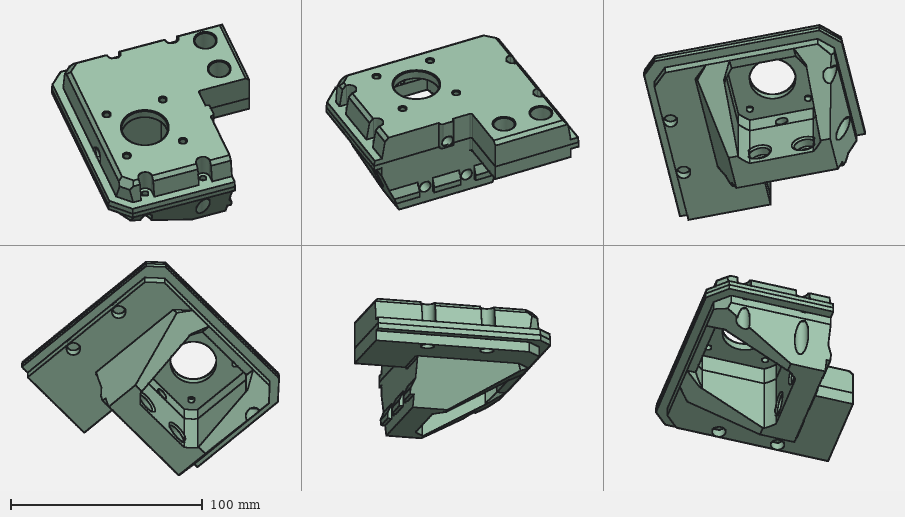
import cadquery as cq
import math


length = 104.9
depth = 94.7
arm_right = 48.4
body_back = 66.5
inner_corner_radius = 1.0
left_corner = 7.2
right_corner = 9.8

lid_top = 15.7
lid_rim_top = 3.3
base_rim_bottom = -2.9
skirt_bottom = -8.2
pedestal_bottom = -33.3

rim_draft = 0.4
box_front = 4.8
box_side = 4.6
box_draft = 1.7
box_chamfer = 2.1
box_chamfer_start = lid_top - box_chamfer
box_corner = 6.9
box_corner_chamfer = 3.8
back_chamfer = 2.0

screw_diameter = 3.4
screw_pitch = 32.0
left_screw_x = 8.3
right_screw_x = 96.4
left_screw_front_y = 34.0
right_screw_front_y = 19.8
lid_screw_points = [
    (left_screw_x, left_screw_front_y),
    (left_screw_x, left_screw_front_y + screw_pitch),
    (right_screw_x, right_screw_front_y),
    (right_screw_x, right_screw_front_y + screw_pitch),
]
notch_width = 7.3
screw_pocket_diameter = 7.1

motor_x = 63.3
motor_y = 31.5
motor_width = 43.9
motor_round_diameter = 55.4
motor_plate = 5.0
motor_seat_z = lid_top - motor_plate
motor_bore_diameter = 24.0
motor_screw_pitch = 31.1
mouth_chamfer = 0.5

well_diameter = 11.0
well_y = 82.0
well_xs = (15.7, 37.1)

cross_hole_diameter = 6.3
cross_hole_z = 3.6
cross_bore_diameter = 8.5
cross_mouth_chamfer = 1.0
boss_width = 8.1
boss_length = 2.0
boss_radius = 1.4

skirt_inset = 4.5
skirt_front = 4.8
skirt_corner = 7.2
pedestal_right = length - skirt_inset
pedestal_left = 26.3
pedestal_side_run = 10.0
pedestal_foot_y = 47.7
root_chamfer = 0.8
opening_corner = 4.8

mount_pitch = 24.0
mount_z = -23.3
mount_diameter = 6.3
mount_bore_diameter = 11.0
mount_bore_depth = 5.2
mount_mouth_chamfer = 1.0
mount_xs = (motor_x - mount_pitch / 2, motor_x + mount_pitch / 2)
rail_height = 2.1
rail_top = -19.0
rail_ramp_bottom = -23.8
rail_bottom = -27.1
rail_gap = 8.6


def block(x0, x1, y0, y1, z0, z1):
    """Box between two opposite corners."""
    return cq.Workplane("XY").box(x1 - x0, y1 - y0, z1 - z0, centered=False).translate((x0, y0, z0))


def along_x(points, x0, x1):
    """Prism along X from a list of (y, z) points."""
    return cq.Workplane("YZ").workplane(offset=x0).polyline(points).close().extrude(x1 - x0)


def along_y(points, y0, y1):
    """Prism along Y from a list of (x, z) points."""
    return cq.Workplane("XZ").workplane(offset=-y1).polyline(points).close().extrude(y1 - y0)


def rod_z(x, y, z0, z1, diameter):
    """Upright cylinder."""
    return cq.Workplane("XY").circle(diameter / 2).extrude(z1 - z0).translate((x, y, z0))


def rod_y(x, z, y0, y1, diameter):
    """Cylinder along Y."""
    return cq.Workplane("XZ").circle(diameter / 2).extrude(y0 - y1).translate((x, y0, z))


def mouth(point, direction, diameter, size):
    """Cone that chamfers the mouth of a hole, narrowing from the point along the direction."""
    radius = diameter / 2
    return cq.Workplane(
        cq.Solid.makeCone(radius + size, radius, size, cq.Vector(*point), cq.Vector(*direction))
    )


def chamfered_hole(x, y, z0, diameter):
    """Cutter for a hole from z0 up to the lid top, with a chamfered mouth."""
    cone = mouth((x, y, lid_top), (0, 0, -1), diameter, mouth_chamfer)
    return rod_z(x, y, z0, lid_top, diameter).union(cone)


def plan_prism(left, right, front, corner_left, corner_right, z0, z1):
    """L-shaped prism with two bevelled front corners and a rounded inner corner."""
    points = [
        (left, front + corner_left),
        (left + corner_left, front),
        (right - corner_right, front),
        (right, front + corner_right),
        (right, body_back),
        (arm_right, body_back),
        (arm_right, depth),
        (left, depth),
    ]
    prism = cq.Workplane("XY").workplane(offset=z0).polyline(points).close().extrude(z1 - z0)
    inner_corner = cq.selectors.NearestToPointSelector((arm_right, body_back, (z0 + z1) / 2))
    return prism.edges(inner_corner).fillet(inner_corner_radius)


def motor_recess(z0, z1):
    """Square recess whose corners are cut off by a larger circle."""
    half = motor_width / 2
    square = block(motor_x - half, motor_x + half, motor_y - half, motor_y + half, z0, z1)
    return square.intersect(rod_z(motor_x, motor_y, z0, z1, motor_round_diameter))


def lid_rim():
    """Lower rim of the lid, drafted on its left, front and right sides only."""
    plan = plan_prism(0, length, 0, left_corner, right_corner, 0, lid_rim_top)
    outline = [
        (0, left_corner),
        (left_corner, 0),
        (length - right_corner, 0),
        (length, right_corner),
        (length, 2 * depth),
        (0, 2 * depth),
    ]
    taper = math.degrees(math.atan(rim_draft / lid_rim_top))
    drafted = cq.Workplane("XY").polyline(outline).close().extrude(lid_rim_top, taper=taper)
    return plan.intersect(drafted)


def lid_box():
    """Upper box of the lid, with drafted sides and chamfered top edges."""
    chamfer_x = box_side + box_draft
    chamfer_y = box_front + box_draft
    top_x = chamfer_x + box_chamfer
    top_y = chamfer_y + box_chamfer
    plan = plan_prism(
        box_side, length - box_side, box_front, box_corner, box_corner, lid_rim_top, lid_top
    )
    side_profile = [
        (box_side, lid_rim_top),
        (chamfer_x, box_chamfer_start),
        (top_x, lid_top),
        (length - top_x, lid_top),
        (length - chamfer_x, box_chamfer_start),
        (length - box_side, lid_rim_top),
    ]
    front_profile = [
        (box_front, lid_rim_top),
        (chamfer_y, box_chamfer_start),
        (top_y, lid_top),
        (depth - back_chamfer, lid_top),
        (depth, lid_top - back_chamfer),
        (depth, lid_rim_top),
    ]
    box = plan.intersect(along_y(side_profile, 0, depth)).intersect(along_x(front_profile, 0, length))
    for x, turn in ((box_side, 45), (length - box_side, -45)):
        box = box.cut(corner_wedge(x, turn))
    return box


def corner_wedge(x, turn):
    """Cutter for the 45 degree chamfer on top of one bevelled box corner."""
    reach = box_corner / math.sqrt(2)
    wedge = along_x(
        [
            (reach, lid_top - box_corner_chamfer),
            (reach + box_corner_chamfer, lid_top),
            (reach, lid_top),
        ],
        -depth / 2,
        depth / 2,
    )
    return wedge.rotate((0, 0, 0), (0, 0, 1), -turn).translate((x, box_front, 0))


def screw_notch(x, y):
    """Open-sided notch that exposes the rim around one lid screw."""
    outer_x = 0 if x < length / 2 else length
    slot = block(
        min(x, outer_x), max(x, outer_x), y - notch_width / 2, y + notch_width / 2, lid_rim_top, lid_top
    )
    return slot.union(rod_z(x, y, lid_rim_top, lid_top, notch_width))


def back_boss():
    """Rounded boss on the back of the lid where the cross hole comes out."""
    back = body_back + boss_length
    boss = block(
        motor_x - boss_width / 2, motor_x + boss_width / 2, body_back - boss_length, back, 0, lid_top
    )
    return boss.edges("|Z and >Y").fillet(boss_radius)


def cross_hole():
    """Cutter for the hole along Y: wide through the front wall, narrower through the back wall."""
    start = (motor_x, box_front, cross_hole_z)
    hole = rod_y(motor_x, cross_hole_z, motor_y, depth, cross_hole_diameter)
    bore = rod_y(motor_x, cross_hole_z, box_front, motor_y, cross_bore_diameter)
    cone = mouth(start, (0, 1, 0), cross_bore_diameter, cross_mouth_chamfer)
    above_joint = block(0, length, 0, depth, 0, lid_top)
    return hole.union(bore).union(cone).intersect(above_joint)


def make_lid():
    lid = lid_rim().union(lid_box()).union(back_boss())
    for x, y in lid_screw_points:
        lid = lid.cut(screw_notch(x, y)).cut(rod_z(x, y, 0, lid_rim_top, screw_diameter))
    for x in well_xs:
        lid = lid.cut(chamfered_hole(x, well_y, 0, well_diameter))
    lid = lid.cut(motor_recess(0, motor_seat_z))
    lid = lid.cut(chamfered_hole(motor_x, motor_y, motor_seat_z, motor_bore_diameter))
    for side_x in (-1, 1):
        for side_y in (-1, 1):
            x = motor_x + side_x * motor_screw_pitch / 2
            y = motor_y + side_y * motor_screw_pitch / 2
            lid = lid.cut(chamfered_hole(x, y, motor_seat_z, screw_diameter))
    return lid.cut(cross_hole())


def pedestal():
    """Pedestal with slanted sides and front, and the locating rail on its back."""
    side_profile = [
        (skirt_front, skirt_bottom),
        (pedestal_foot_y, pedestal_bottom),
        (body_back, pedestal_bottom),
        (body_back, rail_bottom),
        (body_back + rail_height, rail_bottom),
        (body_back + rail_height, rail_ramp_bottom),
        (body_back, rail_top),
        (body_back, skirt_bottom),
    ]
    front_profile = [
        (pedestal_left, skirt_bottom),
        (pedestal_right, skirt_bottom),
        (pedestal_right - pedestal_side_run, pedestal_bottom),
        (pedestal_left + pedestal_side_run, pedestal_bottom),
    ]
    plan = block(pedestal_left, pedestal_right, skirt_front, depth, pedestal_bottom, skirt_bottom)
    plan = plan.edges("|Z and <Y").chamfer(skirt_corner)
    solid = along_x(side_profile, 0, length).intersect(along_y(front_profile, 0, depth)).intersect(plan)
    for x in mount_xs:
        gap = block(
            x - rail_gap / 2, x + rail_gap / 2, body_back, body_back + rail_height, rail_bottom, rail_top
        )
        solid = solid.cut(gap)
    return solid


def root_wedge():
    """Small chamfer in the corner between the pedestal back and the arm underside."""
    points = [
        (body_back, skirt_bottom),
        (body_back + root_chamfer, skirt_bottom),
        (body_back, skirt_bottom - root_chamfer),
    ]
    return along_x(points, pedestal_left + root_chamfer, arm_right)


def front_opening():
    """Cutter that opens the motor recess through the slanted front of the pedestal."""
    half = motor_width / 2
    points = [
        (motor_x - half, pedestal_bottom),
        (motor_x - half, skirt_bottom - opening_corner),
        (motor_x - half + opening_corner, skirt_bottom),
        (motor_x + half - opening_corner, skirt_bottom),
        (motor_x + half, skirt_bottom - opening_corner),
        (motor_x + half, pedestal_bottom),
    ]
    return along_y(points, 0, motor_y)


def mount_hole(x):
    """Cutter for one mounting hole, counterbored and chamfered on the recess side."""
    wall_y = motor_y + motor_width / 2
    start = (x, wall_y, mount_z)
    hole = rod_y(x, mount_z, wall_y, depth, mount_diameter)
    bore = rod_y(x, mount_z, motor_y, wall_y + mount_bore_depth, mount_bore_diameter)
    cone = mouth(start, (0, 1, 0), mount_bore_diameter, mount_mouth_chamfer)
    return hole.union(bore).union(cone)


def make_base():
    base = plan_prism(0, length, 0, left_corner, right_corner, base_rim_bottom, 0)
    skirt = plan_prism(
        skirt_inset,
        length - skirt_inset,
        skirt_front,
        skirt_corner,
        skirt_corner,
        skirt_bottom,
        base_rim_bottom,
    )
    base = base.union(skirt).union(pedestal()).union(root_wedge())
    base = base.cut(motor_recess(pedestal_bottom, 0)).cut(front_opening())
    for x in mount_xs:
        base = base.cut(mount_hole(x))
    for x, y in lid_screw_points:
        base = base.cut(rod_z(x, y, pedestal_bottom, base_rim_bottom, screw_pocket_diameter))
    return base


lid = make_lid()
base = make_base()
result = cq.Compound.makeCompound([lid.solids().val(), base.solids().val()])